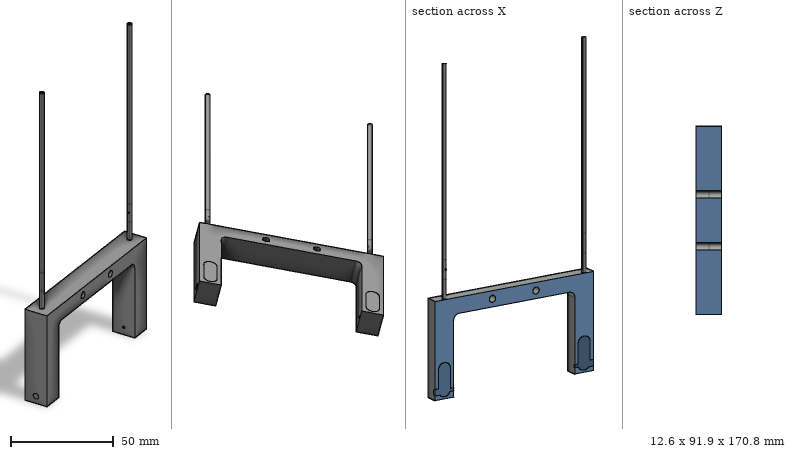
import cadquery as cq

FRAME_THICKNESS = 12.6
FRAME_WIDTH = 91.9
FRAME_HEIGHT = 50.7
LEG_WIDTH = 11.0
BAR_HEIGHT = 8.5
INNER_CORNER_RADIUS = 3.0

BAR_HOLE_DIAMETER = 3.5
BAR_HOLE_SPACING = 25.3

INSERT_WIDTH = 6.7
INSERT_LENGTH = 17.0
INSERT_CENTER_Z = 9.9
PLUG_DIAMETER = 3.0
PIN_DIAMETER = 1.2
PLUG_Z = 4.1
INSERT_DEPTH = FRAME_THICKNESS / 2 + PLUG_DIAMETER / 2

TOTAL_HEIGHT = 170.8
ROD_DIAMETER = 2.4
ROD_BORE_DIAMETER = 1.2
BAND_START = 10.0
BAND_LENGTH = 10.0
SIGHT_HOLE_DIAMETER = 0.7

LEG_CENTER_Y = (FRAME_WIDTH - LEG_WIDTH) / 2
ROD_LENGTH = TOTAL_HEIGHT - FRAME_HEIGHT
SIDES = (-1, 1)


def cylinder_along_y(diameter, z, start_y, end_y):
    """Cylinder in the plane X = 0, from start_y to end_y."""
    return (
        cq.Workplane("XZ", origin=(0, start_y, z))
        .circle(diameter / 2)
        .extrude(start_y - end_y)
    )


def make_insert(side):
    """Insert of the leg on the given side of Y = 0, plug pointing away from the middle."""
    block = (
        cq.Workplane("YZ", origin=(-FRAME_THICKNESS / 2, side * LEG_CENTER_Y, INSERT_CENTER_Z))
        .slot2D(INSERT_LENGTH, INSERT_WIDTH, 90)
        .extrude(INSERT_DEPTH)
    )
    outer_y = side * FRAME_WIDTH / 2
    inner_y = side * (FRAME_WIDTH / 2 - LEG_WIDTH)
    plug = cylinder_along_y(PLUG_DIAMETER, PLUG_Z, side * LEG_CENTER_Y, outer_y)
    pin = cylinder_along_y(PIN_DIAMETER, PLUG_Z, side * LEG_CENTER_Y, inner_y)
    return block.union(plug).union(pin)


def make_rod(side):
    """Tube of three stretches in one solid; the joints at both ends of the band stay as edges."""
    joints = [0, BAND_START, BAND_START + BAND_LENGTH, ROD_LENGTH]
    rod = cq.Workplane("XY")
    for start, end in zip(joints, joints[1:]):
        stretch = (
            cq.Workplane("XY", origin=(0, side * LEG_CENTER_Y, FRAME_HEIGHT + start))
            .circle(ROD_DIAMETER / 2)
            .circle(ROD_BORE_DIAMETER / 2)
            .extrude(end - start)
        )
        rod = rod.union(stretch, clean=False)
    sight_hole = cylinder_along_y(
        SIGHT_HOLE_DIAMETER,
        FRAME_HEIGHT + BAND_START + BAND_LENGTH / 2,
        side * LEG_CENTER_Y,
        side * (LEG_CENTER_Y - ROD_DIAMETER / 2),
    )
    return rod.cut(sight_hole, clean=False)


def make_frame(inserts):
    """Upside-down U with the bar holes, cut out to seat the inserts."""
    standing = (True, True, False)
    opening_width = FRAME_WIDTH - 2 * LEG_WIDTH
    opening_height = FRAME_HEIGHT - BAR_HEIGHT
    frame = cq.Workplane("XY").box(FRAME_THICKNESS, FRAME_WIDTH, FRAME_HEIGHT, centered=standing)
    opening = (
        cq.Workplane("XY")
        .box(FRAME_THICKNESS, opening_width, opening_height, centered=standing)
        .edges("|X and >Z")
        .fillet(INNER_CORNER_RADIUS)
    )
    bar_holes = (
        cq.Workplane("YZ", origin=(0, 0, FRAME_HEIGHT - BAR_HEIGHT / 2))
        .pushPoints([(side * BAR_HOLE_SPACING / 2, 0) for side in SIDES])
        .circle(BAR_HOLE_DIAMETER / 2)
        .extrude(FRAME_THICKNESS / 2, both=True)
    )
    frame = frame.cut(opening).cut(bar_holes)
    for insert in inserts:
        frame = frame.cut(insert)
    return frame


inserts = [make_insert(side) for side in SIDES]
rods = [make_rod(side) for side in SIDES]
frame = make_frame(inserts)

result = cq.Compound.makeCompound(
    [frame.val()] + [insert.val() for insert in inserts] + [rod.val() for rod in rods]
)